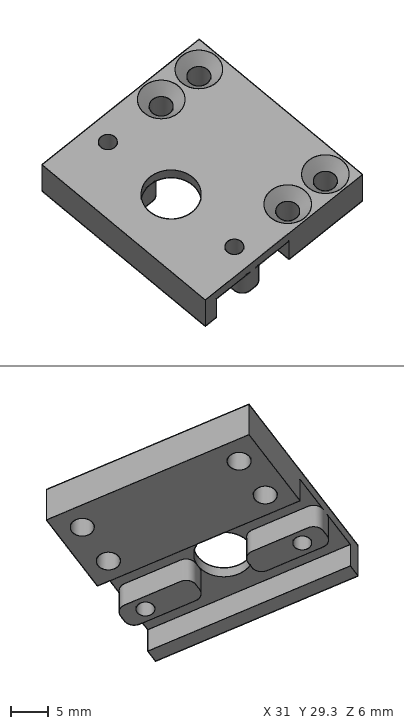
import cadquery as cq

length = 31.0
width = 29.3
height = 6.0

plate_thickness = 1.8
front_wall = 2.1
channel_width = 13.5

boss_length = 11.5
boss_width = 4.0
boss_corner_radius = 1.5

side_margin = 3.5
pin_diameter = 2.5
center_hole_diameter = 8.0
screw_diameter = 3.2
countersink_diameter = 6.32
countersink_angle = 90
rear_screw_margin = 3.5
screw_pitch = 7.0

channel_y = -width / 2 + front_wall + channel_width / 2
channel_depth = height - plate_thickness
hole_x = length / 2 - side_margin
rear_screw_y = width / 2 - rear_screw_margin


def make_block():
    block = cq.Workplane("XY").box(length, width, height, centered=(True, True, False))
    channel = (
        cq.Workplane("XY")
        .center(0, channel_y)
        .box(length, channel_width, channel_depth, centered=(True, True, False))
    )
    return block.cut(channel)


def make_bosses():
    boss_x = (length - boss_length) / 2
    return (
        cq.Workplane("XY")
        .pushPoints([(-boss_x, channel_y), (boss_x, channel_y)])
        .rect(boss_length, boss_width)
        .extrude(height)
        .edges("|Z")
        .fillet(boss_corner_radius)
    )


def drill_holes(body):
    top = body.faces(">Z").workplane(origin=(0, 0, height))
    body = top.center(0, channel_y).hole(center_hole_diameter)
    top = body.faces(">Z").workplane(origin=(0, 0, height))
    body = top.pushPoints([(-hole_x, channel_y), (hole_x, channel_y)]).hole(pin_diameter)
    screw_points = [
        (x, y)
        for x in (-hole_x, hole_x)
        for y in (rear_screw_y, rear_screw_y - screw_pitch)
    ]
    top = body.faces(">Z").workplane(origin=(0, 0, height))
    return top.pushPoints(screw_points).cskHole(screw_diameter, countersink_diameter, countersink_angle)


result = drill_holes(make_block().union(make_bosses()))